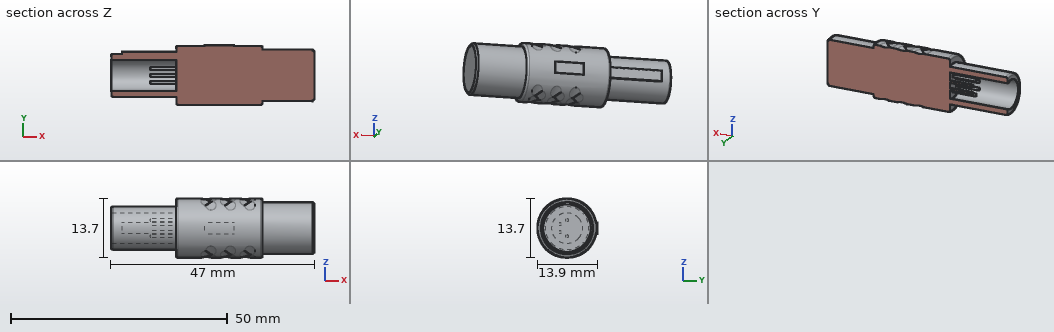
import cadquery as cq
import math


nose_radius = 5.0
nose_length = 15.0
collar_radius = 6.85
collar_length = 20.0
rear_radius = 6.0
total_length = 47.0
nose_fillet = 0.5
collar_fillet = 0.5
rear_chamfer = 0.5

socket_radius = 3.55
socket_depth = nose_length
pin_count = 6
first_pin_angle = math.pi / 2
pin_radius = 0.35
pin_length = 6.0
pin_circle_radius = 1.85

key_start = 2.5
key_width = 2.5
key_top = 5.5

pad_start = 21.6
pad_length = 6.8
pad_width = 2.7
pad_top = 7.0

scallop_depth = 0.19
scallop_radius = 3.9
scallop_step_angle = 13.1
scallops_per_group = 7
scallop_cutter_length = 6.0
group_first_x = 22.5
group_pitch = 4.5
group_count = 3
grip_side_angles = (0, 180)
row_offset = 1.1

collar_end = nose_length + collar_length


def cylinder_along_x(start, length, radius):
    return cq.Workplane("YZ", origin=(start, 0, 0)).circle(radius).extrude(length)


def box_on_y_side(start, length, width, top):
    """Block reaching from the connector axis out to y = top."""
    block = cq.Workplane("XY").box(length, top, width, centered=(False, False, True))
    return block.translate((start, 0, 0))


def make_body():
    """Stepped round body with its end and collar edges eased."""
    nose = cylinder_along_x(0, nose_length, nose_radius).faces("<X").edges().fillet(nose_fillet)
    collar = cylinder_along_x(nose_length, collar_length, collar_radius).edges("%CIRCLE").fillet(collar_fillet)
    rear = cylinder_along_x(collar_end, total_length - collar_end, rear_radius)
    rear = rear.faces(">X").edges().chamfer(rear_chamfer)
    return nose.union(collar).union(rear)


def make_key():
    return box_on_y_side(key_start, nose_length - key_start, key_width, key_top)


def make_pad():
    return box_on_y_side(pad_start, pad_length, pad_width, pad_top)


def make_pin(index):
    """Round-ended contact pin standing on the socket floor."""
    angle = first_pin_angle + index * 2 * math.pi / pin_count
    dome_centre_x = socket_depth - pin_length + pin_radius
    pin = cylinder_along_x(dome_centre_x, pin_length - pin_radius, pin_radius)
    pin = pin.union(cq.Workplane("XY").sphere(pin_radius).translate((dome_centre_x, 0, 0)))
    pin_y = pin_circle_radius * math.cos(angle)
    pin_z = pin_circle_radius * math.sin(angle)
    return pin.translate((0, pin_y, pin_z))


def make_scallop(x, angle):
    """Cutter whose axis runs tangent to the collar, turned by angle from +Z about X."""
    axis_height = collar_radius - scallop_depth + scallop_radius
    cutter = cq.Workplane("XZ").center(x, axis_height).circle(scallop_radius)
    cutter = cutter.extrude(scallop_cutter_length / 2, both=True)
    return cutter.rotate((0, 0, 0), (1, 0, 0), angle)


def cut_grip(body):
    """Groups of two staggered scallop rows on the +Z and -Z sides."""
    middle = (scallops_per_group - 1) / 2
    for side_angle in grip_side_angles:
        for group in range(group_count):
            group_x = group_first_x + group * group_pitch
            for index in range(scallops_per_group):
                row_side = 1 if index % 2 == 0 else -1
                x = group_x + row_side * row_offset / 2
                angle = side_angle + (index - middle) * scallop_step_angle
                body = body.cut(make_scallop(x, angle))
    return body


result = cut_grip(make_body())
result = result.union(make_key())
result = result.union(make_pad())
result = result.cut(cylinder_along_x(0, socket_depth, socket_radius))
for pin_index in range(pin_count):
    result = result.union(make_pin(pin_index))